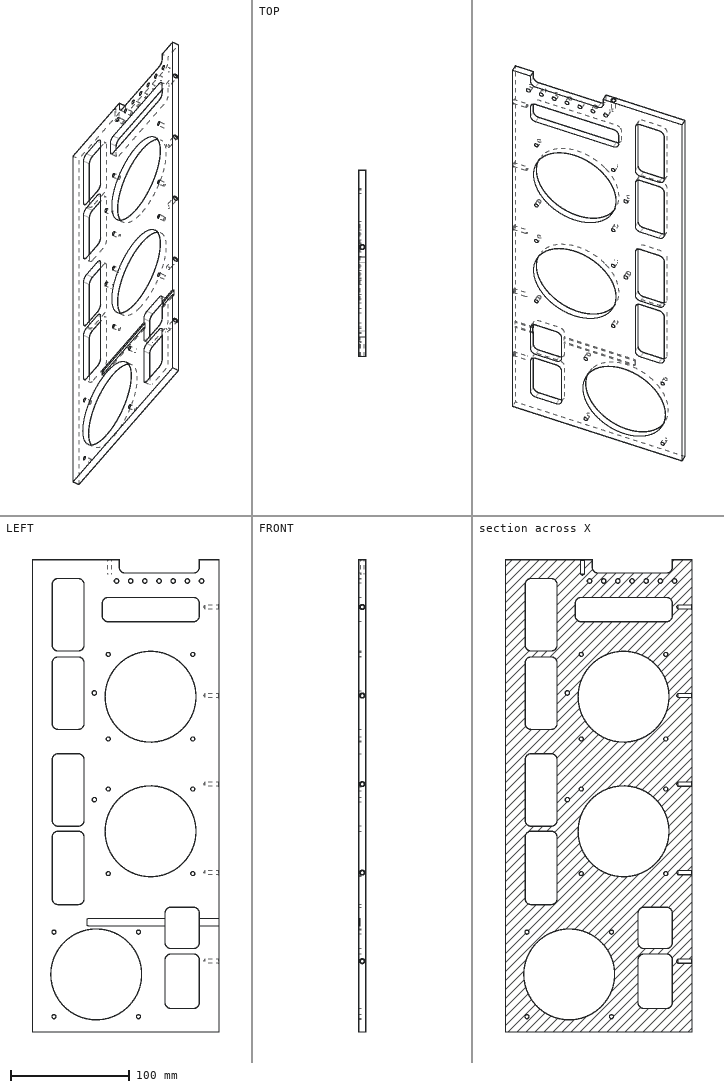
import cadquery as cq
import math

thickness = 6.0
width = 158.0
height = 400.0
corner_radius = 5.0

right_margin = 17.0
notch_width = 67.5
notch_depth = 11.0
slot_width = 82.0
slot_bottom = 347.5
slot_height = 20.5

tall_window_start = 114.5
tall_window_width = 27.0
tall_window_height = 61.0
tall_window_bottoms = (323.0, 256.5, 174.5)
lowest_window_bottom = 108.0
lowest_window_height = 62.0

small_window_width = 29.0
lower_window_bottom = 20.0
lower_window_height = 46.0
upper_window_bottom = 71.0
upper_window_height = 35.0

fan_diameter = 77.0
fan_screw_pitch = 71.5
fan_screw_diameter = 3.3
fan_centers = ((58.0, 284.0), (58.0, 170.0), (104.0, 49.0))

row_hole_diameter = 3.5
row_hole_count = 7
row_hole_pitch = 12.0
row_hole_start = 15.0
row_hole_z = 382.0
single_holes = ((105.5, 287.0), (105.5, 197.0))

edge_hole_diameter = 3.3
countersink_diameter = 4.5
edge_hole_depth = 12.0
drill_tip_angle = 118
edge_hole_count = 5
edge_hole_lowest = 60.0
edge_hole_highest = 360.0
top_hole_y = 93.0

groove_length = 112.0
groove_width = 6.0
groove_bottom = 90.0
groove_depth = 1.0
groove_end_radius = 1.0


def window(y_start, z_bottom, y_size, z_size):
    """Rounded rectangular cutter through the plate."""
    block = cq.Workplane("XY").box(thickness, y_size, z_size, centered=False)
    return block.edges("|X").fillet(corner_radius).translate((0, y_start, z_bottom))


def through_holes(centers, diameter):
    """Round cutters through the plate at (y, z) centers."""
    return cq.Workplane("YZ").pushPoints(centers).circle(diameter / 2).extrude(thickness)


def drilled_hole(mouth, direction):
    """Blind hole cutter with a conical tip and a 45 degree countersink at its mouth."""
    radius = edge_hole_diameter / 2
    tip_length = radius / math.tan(math.radians(drill_tip_angle / 2))
    start = cq.Vector(*mouth)
    axis = cq.Vector(*direction)
    barrel = cq.Solid.makeCylinder(radius, edge_hole_depth, start, axis)
    tip = cq.Solid.makeCone(radius, 0, tip_length, start + axis * edge_hole_depth, axis)
    mouth_radius = countersink_diameter / 2
    countersink = cq.Solid.makeCone(mouth_radius, radius, mouth_radius - radius, start, axis)
    return cq.Workplane(barrel.fuse(tip, countersink))


result = cq.Workplane("XY").box(thickness, width, height, centered=False)

result = result.cut(window(right_margin, height - notch_depth, notch_width, 2 * notch_depth))
result = result.cut(window(right_margin, slot_bottom, slot_width, slot_height))

for bottom in tall_window_bottoms:
    result = result.cut(window(tall_window_start, bottom, tall_window_width, tall_window_height))
result = result.cut(
    window(tall_window_start, lowest_window_bottom, tall_window_width, lowest_window_height)
)
result = result.cut(window(right_margin, lower_window_bottom, small_window_width, lower_window_height))
result = result.cut(window(right_margin, upper_window_bottom, small_window_width, upper_window_height))

half_pitch = fan_screw_pitch / 2
fan_screws = [
    (y + side_y * half_pitch, z + side_z * half_pitch)
    for y, z in fan_centers
    for side_y in (-1, 1)
    for side_z in (-1, 1)
]
result = result.cut(through_holes(fan_centers, fan_diameter))
result = result.cut(through_holes(fan_screws, fan_screw_diameter))

row_holes = [(row_hole_start + i * row_hole_pitch, row_hole_z) for i in range(row_hole_count)]
result = result.cut(through_holes(row_holes, row_hole_diameter))
result = result.cut(through_holes(single_holes, row_hole_diameter))

edge_hole_pitch = (edge_hole_highest - edge_hole_lowest) / (edge_hole_count - 1)
for i in range(edge_hole_count):
    mouth = (thickness / 2, 0, edge_hole_lowest + i * edge_hole_pitch)
    result = result.cut(drilled_hole(mouth, (0, 1, 0)))
result = result.cut(drilled_hole((thickness / 2, top_hole_y, height), (0, 0, -1)))

groove = cq.Workplane("XY").box(groove_depth, groove_length, groove_width, centered=False)
groove = groove.edges("|X and >Y").fillet(groove_end_radius)
result = result.cut(groove.translate((0, 0, groove_bottom)))